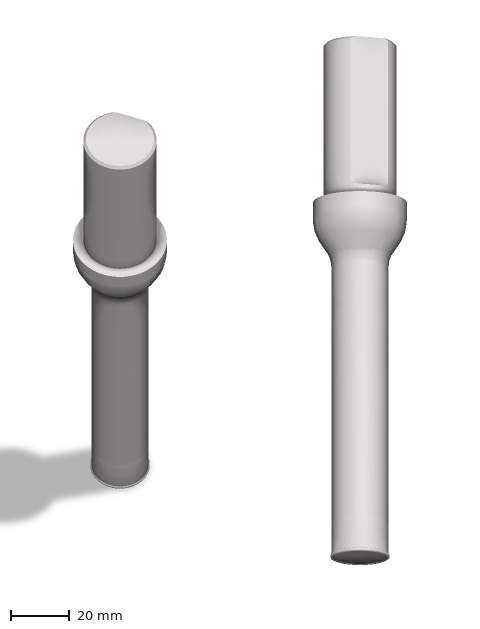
import cadquery as cq
import math

total_length = 181.0
joint_height = 1.5
relief_start_height = 11.2
relief_end_height = 14.0
taper_bottom = 61.9
taper_top = 98.0
flare_bottom = 102.8
collar_bottom = 119.6
collar_top = 125.3

shank_diameter = 25.0
collar_diameter = 32.0
neck_diameter = 19.5
relieved_diameter = 19.4

shank_chamfer = 0.9
flat_offset = 10.5
flat_bottom = 128.7
flat_runout_radius = 2.2

head_diameter = 20.3
head_widest_height = 0.9
head_point_diameter = 18.1
head_point_height = 0.5

flare_middle = (13.0, 110.5)

shank_radius = shank_diameter / 2
collar_radius = collar_diameter / 2
neck_radius = neck_diameter / 2
relieved_radius = relieved_diameter / 2


def make_holder():
    """Turned holder: tool body, flared neck, collar and shank with a clamping flat."""
    holder = (
        cq.Workplane("XZ")
        .moveTo(0, joint_height)
        .lineTo(neck_radius, joint_height)
        .lineTo(neck_radius, relief_start_height)
        .lineTo(relieved_radius, relief_end_height)
        .lineTo(relieved_radius, taper_bottom)
        .lineTo(neck_radius, taper_top)
        .lineTo(neck_radius, flare_bottom)
        .spline(
            [flare_middle, (collar_radius, collar_bottom)],
            tangents=[(0, 1), (0, 1)],
            includeCurrent=True,
        )
        .lineTo(collar_radius, collar_top)
        .lineTo(shank_radius, collar_top)
        .lineTo(shank_radius, total_length - shank_chamfer)
        .lineTo(shank_radius - shank_chamfer, total_length)
        .lineTo(0, total_length)
        .close()
        .revolve(360, (0, 0), (0, 1))
    )
    return holder.cut(make_flat_cutter())


def make_flat_cutter():
    """Volume removed for the +Y clamping flat, with a rounded run-out at its lower end."""
    runout_end = flat_offset + flat_runout_radius
    arc_inset = flat_runout_radius * (1 - math.sqrt(0.5))
    return (
        cq.Workplane("YZ")
        .moveTo(flat_offset, total_length)
        .lineTo(flat_offset, flat_bottom + flat_runout_radius)
        .threePointArc((flat_offset + arc_inset, flat_bottom + arc_inset), (runout_end, flat_bottom))
        .lineTo(runout_end, total_length)
        .close()
        .extrude(shank_radius, both=True)
    )


def make_cutting_head():
    """Thin cutting head: a rounded rim above a shallow conical point."""
    return (
        cq.Workplane("XZ")
        .lineTo(head_point_diameter / 2, head_point_height)
        .threePointArc((head_diameter / 2, head_widest_height), (neck_radius, joint_height))
        .lineTo(0, joint_height)
        .close()
        .revolve(360, (0, 0), (0, 1))
    )


holder = make_holder()
cutting_head = make_cutting_head()
result = cq.Compound.makeCompound([holder.val(), cutting_head.val()])